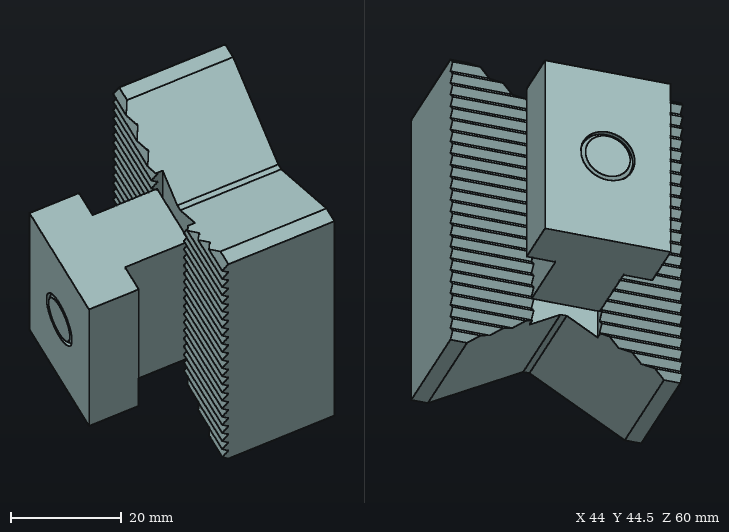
import cadquery as cq
import math

TOTAL_DEPTH = 44.5

JAW_WIDTH = 44.0
JAW_LENGTH = 60.0
TOOTH_COUNT = 24
TOOTH_ROOT_DEPTH = 21.4
TOOTH_PITCH = JAW_LENGTH / TOOTH_COUNT
TOOTH_HEIGHT = TOOTH_PITCH / 2
JAW_DEPTH = TOOTH_ROOT_DEPTH + TOOTH_HEIGHT

NOTCH_WIDTH = 37.6
NOTCH_FLOOR_WIDTH = 1.2
NOTCH_ANGLE = 30.0
NOTCH_DEPTH = (NOTCH_WIDTH - NOTCH_FLOOR_WIDTH) / 2 * math.tan(math.radians(NOTCH_ANGLE))

NUT_LENGTH = 36.0
NUT_DEPTH = 23.0
NECK_WIDTH = 13.0
FLANGE_WIDTH = 24.0
FLANGE_DEPTH = 10.0
NUT_BACK_Y = NUT_DEPTH - TOTAL_DEPTH

NUT_GAP = 1.15
GROOVE_FLOOR_Y = NUT_BACK_Y + NUT_GAP

SCREW_DIAMETER = 10.0
SCREW_TIP_DIAMETER = 8.5
NUT_BORE_DIAMETER = 10.25
SCREW_CHAMFER = (SCREW_DIAMETER - SCREW_TIP_DIAMETER) / 2


def rod(diameter):
    """Cylinder along Y, from the jaw's back face to the front of the T-nut."""
    return cq.Workplane("XZ").circle(diameter / 2).extrude(TOTAL_DEPTH)


def jaw_blank():
    """Block with its front face serrated by teeth running along X."""
    profile = [(0, -JAW_LENGTH / 2), (-TOOTH_ROOT_DEPTH, -JAW_LENGTH / 2)]
    for tooth in range(TOOTH_COUNT):
        tooth_start = -JAW_LENGTH / 2 + tooth * TOOTH_PITCH
        profile.append((-JAW_DEPTH, tooth_start + TOOTH_PITCH / 2))
        profile.append((-TOOTH_ROOT_DEPTH, tooth_start + TOOTH_PITCH))
    profile.append((0, JAW_LENGTH / 2))
    return cq.Workplane("YZ").polyline(profile).close().extrude(JAW_WIDTH / 2, both=True)


def end_notch(end):
    """Flat-bottomed V along Y; end is 1 for the top of the jaw and -1 for its bottom."""
    mouth_z = end * JAW_LENGTH / 2
    floor_z = end * (JAW_LENGTH / 2 - NOTCH_DEPTH)
    corners = [
        (-NOTCH_WIDTH / 2, mouth_z),
        (-NOTCH_FLOOR_WIDTH / 2, floor_z),
        (NOTCH_FLOOR_WIDTH / 2, floor_z),
        (NOTCH_WIDTH / 2, mouth_z),
    ]
    return cq.Workplane("XZ").polyline(corners).close().extrude(JAW_DEPTH)


def nut_groove():
    """Groove along Z that receives the neck of the T-nut."""
    return (
        cq.Workplane("XZ", origin=(0, GROOVE_FLOOR_Y, 0))
        .rect(NECK_WIDTH, JAW_LENGTH)
        .extrude(JAW_DEPTH + GROOVE_FLOOR_Y)
    )


def make_jaw():
    body = jaw_blank().cut(nut_groove())
    for end in (-1, 1):
        body = body.cut(end_notch(end))
    return body.cut(rod(SCREW_DIAMETER))


def make_t_nut():
    neck = (
        cq.Workplane("XZ", origin=(0, NUT_BACK_Y, 0))
        .rect(NECK_WIDTH, NUT_LENGTH)
        .extrude(NUT_DEPTH)
    )
    flange = (
        cq.Workplane("XZ", origin=(0, FLANGE_DEPTH - TOTAL_DEPTH, 0))
        .rect(FLANGE_WIDTH, NUT_LENGTH)
        .extrude(FLANGE_DEPTH)
    )
    return neck.union(flange).cut(rod(NUT_BORE_DIAMETER))


def make_screw():
    """Plain round screw with a chamfered front tip."""
    return rod(SCREW_DIAMETER).faces("<Y").chamfer(SCREW_CHAMFER)


jaw = make_jaw()
t_nut = make_t_nut()
screw = make_screw()

result = cq.Compound.makeCompound([jaw.val(), t_nut.val(), screw.val()])